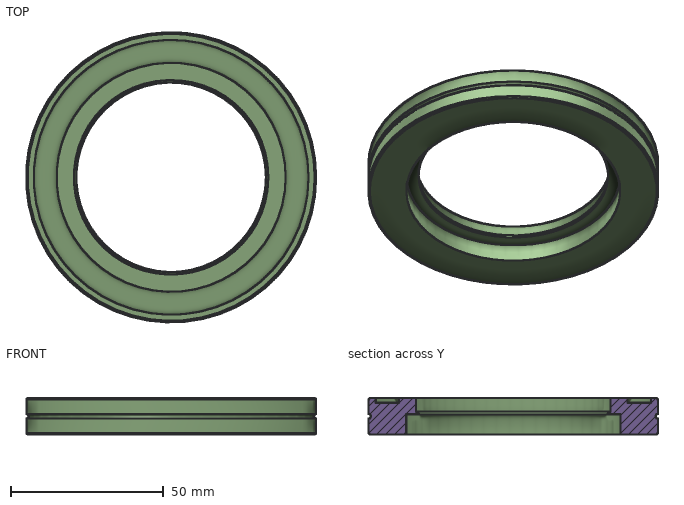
import cadquery as cq

outer_radius = 95 / 2
height = 12
edge_chamfer = 0.5

groove_radius = 0.75

recess_outer_radius = 90 / 2
recess_inner_radius = 75 / 2
recess_depth = 1.5

upper_bore_radius = 63.7 / 2
upper_bore_depth = 4.5
lip_radius = 62.05 / 2
lip_thickness = 0.9
lower_bore_radius = 70 / 2
lower_bore_depth = height - upper_bore_depth - lip_thickness


def cylinder(radius, bottom, length):
    """Solid cylinder on the Z axis, starting at the given height."""
    return cq.Workplane("XY", origin=(0, 0, bottom)).circle(radius).extrude(length)


def blank_disc():
    """Full disc with both outer edges chamfered."""
    return cylinder(outer_radius, 0, height).edges().chamfer(edge_chamfer)


def rim_groove():
    """Torus centred on the outer surface at mid height."""
    return (
        cq.Workplane("XZ")
        .center(outer_radius, height / 2)
        .circle(groove_radius)
        .revolve(360, (-outer_radius, 0), (-outer_radius, 1))
    )


def top_recess():
    """Flat ring-shaped pocket between the rim and the central land."""
    return (
        cq.Workplane("XY", origin=(0, 0, height - recess_depth))
        .circle(recess_outer_radius)
        .circle(recess_inner_radius)
        .extrude(recess_depth)
    )


def stepped_bore():
    """Through hole with a wider bore on each side of the lip."""
    through = cylinder(lip_radius, 0, height)
    upper = cylinder(upper_bore_radius, height - upper_bore_depth, upper_bore_depth)
    lower = cylinder(lower_bore_radius, 0, lower_bore_depth)
    return through.union(upper).union(lower)


result = blank_disc().cut(rim_groove()).cut(top_recess()).cut(stepped_bore())